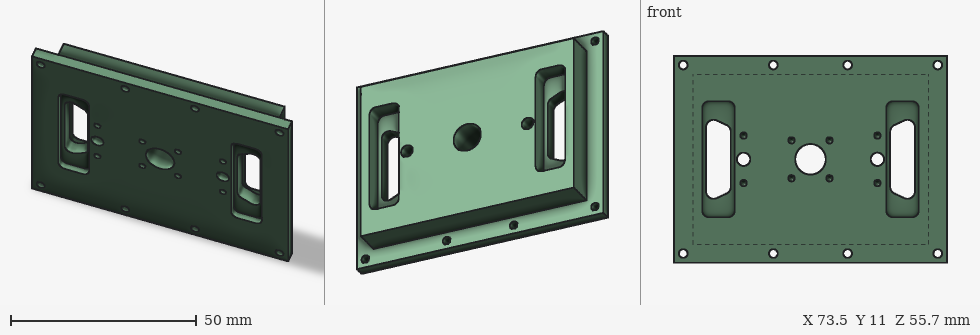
import cadquery as cq
import math

plate_width = 73.5
plate_height = 55.7
plate_thickness = 3.0

total_depth = 11.0
block_margin = 5.0
block_width = plate_width - 2 * block_margin
block_height = plate_height - 2 * block_margin

rim_hole_diameter = 2.3
rim_hole_inset = block_margin / 2
rim_inner_x = 10.0
rim_corner_x = plate_width / 2 - rim_hole_inset
rim_z = plate_height / 2 - rim_hole_inset

bore_diameter = 8.15
bore_screw_spacing = 10.2

side_hole_diameter = 3.5
side_hole_x = 18.0
side_screw_spacing = 12.8

screw_hole_diameter = 1.8
screw_hole_depth = 6.0
drill_point_angle = 118.0

connector_x = 24.8
recess_width = 8.8
recess_height = 31.3
recess_depth = 2.0
rear_pocket_depth = 5.3
opening_width = 6.6
opening_outer_height = 23.45
opening_inner_height = 17.35
corner_radius = 2.0


def front_plane(depth=0.0):
    """Sketch plane facing -Y, at a depth behind the front face."""
    return cq.Workplane("XZ", origin=(0, depth, 0))


def round_holes(points, diameter):
    """Cylinders through the full depth of the part."""
    return front_plane().pushPoints(points).circle(diameter / 2).extrude(-total_depth)


def drilled_hole(x, z):
    """Blind hole with a conical bottom, drilled from the front face."""
    radius = screw_hole_diameter / 2
    point_length = radius / math.tan(math.radians(drill_point_angle / 2))
    profile = (
        cq.Workplane("XY")
        .moveTo(0, 0)
        .lineTo(radius, 0)
        .lineTo(radius, screw_hole_depth)
        .lineTo(0, screw_hole_depth + point_length)
        .close()
    )
    return profile.revolve(360, (0, 0), (0, 1)).translate((x, 0, z))


def rounded_pocket(x, front, depth):
    """Upright pocket with rounded corners, starting at the given depth."""
    return (
        front_plane(front)
        .center(x, 0)
        .rect(recess_width, recess_height)
        .extrude(-depth)
        .edges("|Y")
        .fillet(corner_radius)
    )


def connector_cutout(side):
    """Recess, D-shaped opening and rear pocket; side is -1 for left, 1 for right."""
    recess = rounded_pocket(side * connector_x, 0, recess_depth)
    rear_pocket = rounded_pocket(
        side * connector_x, total_depth - rear_pocket_depth, rear_pocket_depth
    )
    outer_x = side * (connector_x + opening_width / 2)
    inner_x = side * (connector_x - opening_width / 2)
    opening = (
        front_plane()
        .moveTo(outer_x, -opening_outer_height / 2)
        .lineTo(outer_x, opening_outer_height / 2)
        .lineTo(inner_x, opening_inner_height / 2)
        .lineTo(inner_x, -opening_inner_height / 2)
        .close()
        .extrude(-total_depth)
        .edges("|Y")
        .fillet(corner_radius)
    )
    return recess.union(opening).union(rear_pocket)


plate = front_plane().rect(plate_width, plate_height).extrude(-plate_thickness)
block = (
    front_plane(plate_thickness)
    .rect(block_width, block_height)
    .extrude(plate_thickness - total_depth)
)
body = plate.union(block)

rim_columns = (-rim_corner_x, -rim_inner_x, rim_inner_x, rim_corner_x)
rim_points = [(x, z) for x in rim_columns for z in (-rim_z, rim_z)]
body = body.cut(round_holes(rim_points, rim_hole_diameter))
body = body.cut(round_holes([(0, 0)], bore_diameter))
body = body.cut(round_holes([(-side_hole_x, 0), (side_hole_x, 0)], side_hole_diameter))

for side in (-1, 1):
    body = body.cut(connector_cutout(side))
    for level in (-1, 1):
        body = body.cut(drilled_hole(side * bore_screw_spacing / 2, level * bore_screw_spacing / 2))
        body = body.cut(drilled_hole(side * side_hole_x, level * side_screw_spacing / 2))

result = body